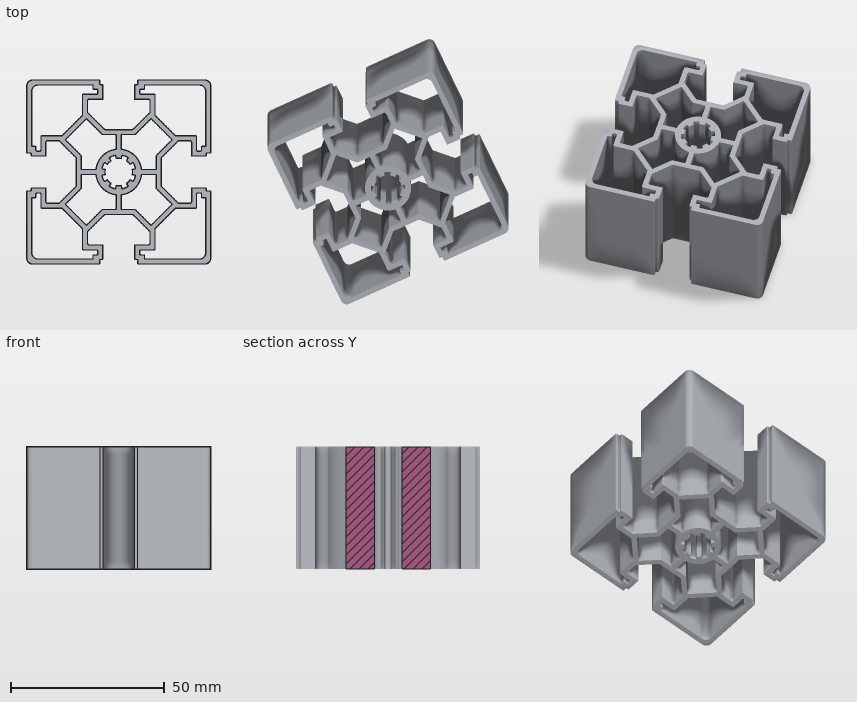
import cadquery as cq
import math

side = 60.0
length = 40.0
half_side = side / 2
corner_radius = 2.0
pocket_corner_radius = 2.0
bend_radius = 0.5
edge_radius = 0.25

wall = 1.7
diagonal_wall = wall * math.sqrt(2)

slot_mouth_half = 6.15
slot_mouth_depth = 1.5
slot_throat_half = 5.15
slot_chamber_half = 10.15
lip_underside = 23.7
slot_floor = 13.85
slot_slope_offset = 9.25

lip_top = lip_underside + wall
lip_back = slot_throat_half + wall
undercut_size = 1.55
undercut_top = lip_top + undercut_size
undercut_shoulder = lip_back + undercut_size

cavity_limit_sum = 27.9

ring_radius = 7.5
bore_tip_radius = 4.45
bore_root_radius = 5.55
tooth_count = 8


def mirror_diagonal(points):
    """Complete an outline that is symmetric about the line x = y."""
    return points + [(y, x) for x, y in reversed(points)]


def mirror_x(points):
    """Complete an outline that is symmetric about the Y axis."""
    return points + [(-x, y) for x, y in reversed(points)]


def prism(points):
    return cq.Workplane("XY").polyline(points).close().extrude(length)


def cylinder(radius):
    return cq.Workplane("XY").circle(radius).extrude(length)


def fillet_upright(solid, points, radius):
    """Round the upright edges that stand on the given points."""
    for x, y in points:
        nearest = cq.selectors.NearestToPointSelector((x, y, length / 2))
        solid = solid.edges("|Z").edges(nearest).fillet(radius)
    return solid


def make_slot():
    """Slot opening to the +Y side."""
    bend = (slot_chamber_half, lip_underside)
    shoulder = half_side - slot_mouth_depth
    step_corner = (slot_mouth_half, shoulder)
    lip_corner = (slot_throat_half, shoulder)
    floor_corner = (slot_floor - slot_slope_offset, slot_floor)
    half_outline = [
        (slot_mouth_half, half_side),
        step_corner,
        lip_corner,
        (slot_throat_half, lip_underside),
        bend,
        (slot_chamber_half, slot_chamber_half + slot_slope_offset),
        floor_corner,
    ]
    slot = prism(mirror_x(half_outline))
    slot = fillet_upright(slot, mirror_x([bend, floor_corner]), bend_radius)
    return fillet_upright(slot, mirror_x([step_corner, lip_corner]), edge_radius)


def make_corner_pocket():
    """Hollow in the +X +Y corner."""
    neck = slot_chamber_half + wall
    bend = (neck, lip_top)
    ceiling = half_side - wall
    undercut_corners = [
        (undercut_shoulder, undercut_top),
        (lip_back, undercut_top),
        (lip_back, lip_top),
    ]
    slope_sum = cavity_limit_sum + diagonal_wall
    half_outline = [
        (undercut_shoulder, ceiling),
        *undercut_corners,
        bend,
        (neck, slope_sum - neck),
    ]
    pocket = prism([(ceiling, ceiling)] + mirror_diagonal(half_outline))
    pocket = fillet_upright(pocket, [(ceiling, ceiling)], pocket_corner_radius)
    pocket = fillet_upright(pocket, mirror_diagonal([bend]), bend_radius)
    return fillet_upright(pocket, mirror_diagonal(undercut_corners), edge_radius)


def make_core_cavity():
    """Hollow in the +X +Y quarter between two webs, the ring and the slot walls."""
    web_face = wall / 2
    ceiling = slot_floor - wall
    slope_offset = slot_slope_offset - diagonal_wall
    apex_x = (cavity_limit_sum - slope_offset) / 2
    half_outline = [
        (web_face, ceiling),
        (ceiling - slope_offset, ceiling),
        (apex_x, apex_x + slope_offset),
    ]
    outline = [(web_face, web_face)] + mirror_diagonal(half_outline)
    return prism(outline).cut(cylinder(ring_radius))


def make_bore():
    """Round bore with evenly spaced grooves, as wide in angle as the teeth."""
    pitch = 2 * math.pi / tooth_count
    reach = 2 * bore_root_radius
    bore = cylinder(bore_tip_radius)
    for i in range(tooth_count):
        start = i * pitch + pitch / 4
        end = start + pitch / 2
        wedge = prism([
            (0, 0),
            (reach * math.cos(start), reach * math.sin(start)),
            (reach * math.cos(end), reach * math.sin(end)),
        ])
        bore = bore.union(wedge.intersect(cylinder(bore_root_radius)))
    return bore


def make_profile():
    body = cq.Workplane("XY").rect(side, side).extrude(length)
    body = body.edges("|Z").fillet(corner_radius)
    for hollow in (make_slot(), make_corner_pocket(), make_core_cavity()):
        for turn in (0, 90, 180, 270):
            body = body.cut(hollow.rotate((0, 0, 0), (0, 0, 1), turn))
    mouth_corners = mirror_x([(slot_mouth_half, half_side), (slot_mouth_half, -half_side)])
    mouth_corners += [(y, x) for x, y in mouth_corners]
    body = fillet_upright(body, mouth_corners, edge_radius)
    return body.cut(make_bore())


result = make_profile()